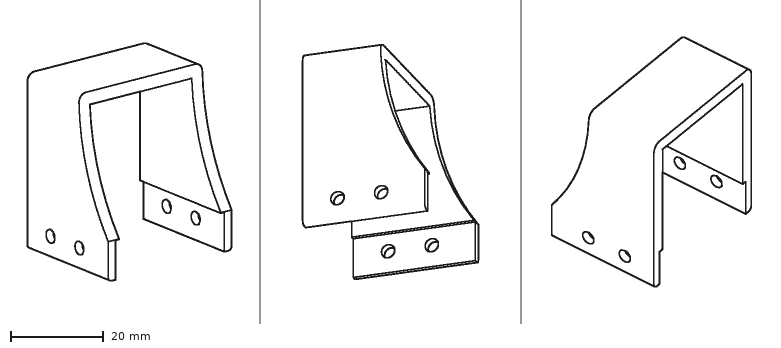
import cadquery as cq

length = 28.0
width = 34.0
height = 40.0

wall = 3.0
foot_wall = 2.0
foot_height = 9.0
top_corner_radius = 2.0
foot_corner_radius = 1.0

top_length = 17.85
scallop_radius = 52.0

hole_diameter = 3.0
hole_height = 5.0
hole_positions = (8.0, 18.0)


def slot(slot_width, slot_height):
    """Channel centred on Y, open at the bottom and running the full length."""
    return cq.Workplane("XY").box(length, slot_width, slot_height, centered=(False, True, False))


def bracket_body():
    """Inverted U with rounded outer corners and thinner feet."""
    body = cq.Workplane("XY").box(length, width, height, centered=(False, True, False))
    body = body.edges("|X and >Z").fillet(top_corner_radius)
    body = body.cut(slot(width - 2 * wall, height - wall))
    body = body.cut(slot(width - 2 * foot_wall, foot_height))
    outer_foot_edges = body.edges("|X and <Z").edges("<Y or >Y")
    return outer_foot_edges.fillet(foot_corner_radius)


def scallop():
    """Cylinder along Y that shapes the concave +X end."""
    return (
        cq.Workplane("XZ")
        .center(top_length + scallop_radius, height)
        .circle(scallop_radius)
        .extrude(width / 2, both=True)
    )


def mounting_holes():
    """Pins along Y that pierce both feet."""
    return (
        cq.Workplane("XZ")
        .pushPoints([(x, hole_height) for x in hole_positions])
        .circle(hole_diameter / 2)
        .extrude(width / 2, both=True)
    )


result = bracket_body().cut(scallop()).cut(mounting_holes())